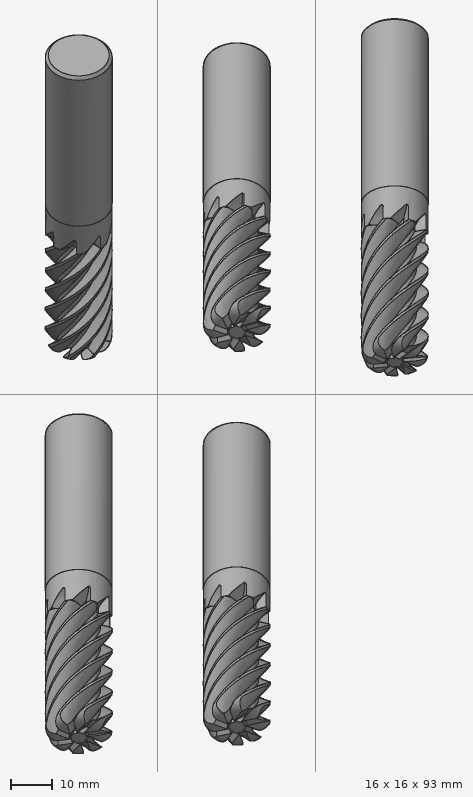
import cadquery as cq
import math

total_length = 93.0
mill_diameter = 16.0
mill_radius = mill_diameter / 2
shank_bottom = 45.0
shank_chamfer = 0.7
neck_radius = 7.95
cutting_length = 36.0
corner_radius = 3.0

tooth_count = 8
tooth_pitch = 360 / tooth_count
helix_angle = 45
gullet_radius = 5.2
rake_angle_at_top = -13.6
land_width = 6.5
back_slope_end = 30.5
back_crown_radius = 6.9
gullet_end = 43.0

runout_length = 4.3
runout_land = 14.0
runout_floor_start = 32.0
runout_helix_angle = 42.0
runout_wall_overlap = 3.0
runout_tip_radius = 0.7

gash_height = 2.6
gash_width = 1.7
gash_inner_radius = 1.9

cut_margin = 0.9


def polar(radius, angle):
    """Point at a radius and an angle counted from the -Y direction."""
    turn = math.radians(angle)
    return (radius * math.sin(turn), -radius * math.cos(turn))


def twist(height, angle=helix_angle):
    """Turn, in degrees, over a height of a helix at an angle to the axis."""
    return math.degrees(height * math.tan(math.radians(angle)) / mill_radius)


def revolved(profile):
    """Solid of revolution about Z from (radius, height) points."""
    outline = [(-radius, height) for radius, height in profile]
    return cq.Workplane("YZ").polyline(outline).close().revolve(360, (0, 0), (0, 1))


def make_cutting_part():
    """Helical teeth with rounded end corners and gashed ends."""
    rake_at_bottom = rake_angle_at_top - twist(cutting_length)
    section = cq.Workplane("XY").moveTo(*polar(mill_radius, rake_at_bottom))
    for tooth in range(tooth_count):
        rake = rake_at_bottom + tooth * tooth_pitch
        land_end = rake + land_width
        floor_start = rake + back_slope_end
        floor_end = rake + gullet_end
        section = (
            section
            .threePointArc(polar(mill_radius, (rake + land_end) / 2), polar(mill_radius, land_end))
            .threePointArc(
                polar(back_crown_radius, (land_end + floor_start) / 2), polar(gullet_radius, floor_start)
            )
            .threePointArc(
                polar(gullet_radius, (floor_start + floor_end) / 2), polar(gullet_radius, floor_end)
            )
        )
        if tooth < tooth_count - 1:
            section = section.lineTo(*polar(mill_radius, rake + tooth_pitch))
    teeth = section.close().twistExtrude(cutting_length, twist(cutting_length))

    envelope = revolved(
        [(0, 0), (mill_radius, 0), (mill_radius, cutting_length), (0, cutting_length)]
    ).faces("<Z").edges().fillet(corner_radius)
    cutter = teeth.intersect(envelope)

    gash_shift = gash_height * math.tan(math.radians(helix_angle))
    gash = (
        cq.Workplane("XZ", origin=(0, -gash_inner_radius, 0))
        .moveTo(0, 0)
        .lineTo(gash_shift, gash_height)
        .lineTo(gash_shift - gash_width, gash_height)
        .lineTo(-gash_width, 0)
        .close()
        .extrude(mill_radius)
    )
    for tooth in range(tooth_count):
        cutter = cutter.cut(gash.rotate((0, 0, 0), (0, 0, 1), rake_at_bottom + tooth * tooth_pitch))
    return cutter


def make_runout():
    """Cutter for the first flute's run-out: a helical back slope stopped by an axial wall."""
    back_edge = rake_angle_at_top + runout_land
    floor_start = rake_angle_at_top + runout_floor_start
    wall = rake_angle_at_top + tooth_pitch
    groove_end = wall + runout_wall_overlap
    groove_height = runout_length + cut_margin
    outer_radius = mill_radius + cut_margin
    groove = (
        cq.Workplane("XY").workplane(offset=cutting_length)
        .moveTo(*polar(outer_radius, back_edge))
        .lineTo(*polar(neck_radius, back_edge))
        .lineTo(*polar(gullet_radius, floor_start))
        .lineTo(*polar(gullet_radius, groove_end))
        .lineTo(*polar(outer_radius, groove_end))
        .close()
        .twistExtrude(groove_height, twist(groove_height, runout_helix_angle))
    )
    limit = (
        cq.Workplane("XY").box(mill_radius, outer_radius, runout_length, centered=False)
        .edges(">X and >Z").fillet(runout_tip_radius)
        .translate((-mill_radius, -outer_radius, cutting_length))
        .rotate((0, 0, 0), (0, 0, 1), wall)
    )
    return groove.intersect(limit)


def make_shank():
    """Chamfered shank and slightly thinner neck with the flute run-outs."""
    shank = revolved([
        (0, cutting_length),
        (neck_radius, cutting_length),
        (neck_radius, shank_bottom),
        (mill_radius, shank_bottom),
        (mill_radius, total_length - shank_chamfer),
        (mill_radius - shank_chamfer, total_length),
        (0, total_length),
    ])
    runout = make_runout()
    for tooth in range(tooth_count):
        shank = shank.cut(runout.rotate((0, 0, 0), (0, 0, 1), tooth * tooth_pitch))
    return shank


cutting_part = make_cutting_part()
shank = make_shank()
result = cq.Compound.makeCompound([cutting_part.val(), shank.val()])